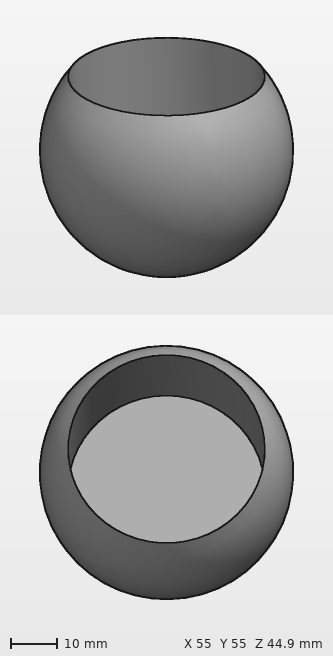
import cadquery as cq
import math

BALL_DIAMETER = 55.0
BORE_DIAMETER = 42.6
BORE_DEPTH = 30.0

ball_radius = BALL_DIAMETER / 2
bore_radius = BORE_DIAMETER / 2

rim_height = math.sqrt(ball_radius**2 - bore_radius**2)
floor_height = rim_height - BORE_DEPTH


def make_ball_end():
    """Ball opened at the top by a blind, flat-floored bore, as one turned profile about Z."""
    bottom_pole = (0, -ball_radius)
    widest_point = (ball_radius, 0)
    rim = (bore_radius, rim_height)
    floor_corner = (bore_radius, floor_height)
    floor_centre = (0, floor_height)

    profile = (
        cq.Workplane("XZ")
        .moveTo(*bottom_pole)
        .threePointArc(widest_point, rim)
        .lineTo(*floor_corner)
        .lineTo(*floor_centre)
        .close()
    )
    return profile.revolve(360, (0, 0, 0), (0, 1, 0))


result = make_ball_end()